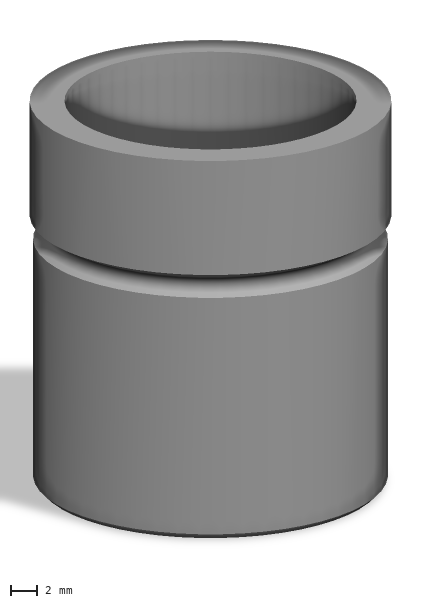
import cadquery as cq
import math

height = 30.0
head_radius = 13.455
head_length = 9.0
body_radius = 13.2
body_length = 19.1
bore_radius = 10.85
chamfer_size = 0.45
groove_floor_radius = 0.35
groove_wall_angle = math.radians(30)

head_bottom = height - head_length
groove_width = head_bottom - body_length
wall_slope = math.tan(groove_wall_angle)
apex_radius = (head_radius + body_radius - groove_width / wall_slope) / 2
apex_height = head_bottom - wall_slope * (head_radius - apex_radius)

tangent_length = groove_floor_radius / wall_slope
tangent_radius = apex_radius + tangent_length * math.cos(groove_wall_angle)
tangent_rise = tangent_length * math.sin(groove_wall_angle)
floor_radius = apex_radius + groove_floor_radius / math.sin(groove_wall_angle) - groove_floor_radius

profile = (
    cq.Workplane("XZ")
    .moveTo(bore_radius, 0)
    .lineTo(body_radius - chamfer_size, 0)
    .lineTo(body_radius, chamfer_size)
    .lineTo(body_radius, body_length)
    .lineTo(tangent_radius, apex_height - tangent_rise)
    .threePointArc(
        (floor_radius, apex_height),
        (tangent_radius, apex_height + tangent_rise),
    )
    .lineTo(head_radius, head_bottom)
    .lineTo(head_radius, height)
    .lineTo(bore_radius, height)
    .close()
)

result = profile.revolve(360, (0, 0, 0), (0, 1, 0))